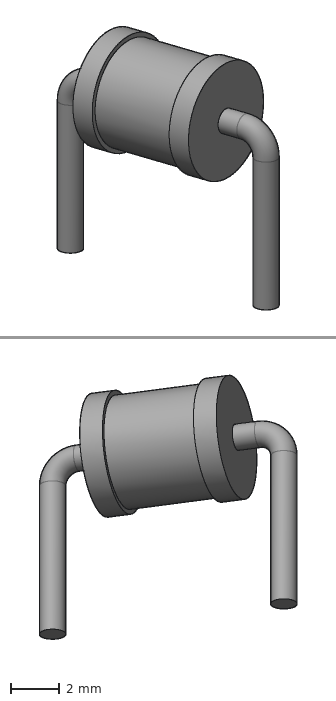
import cadquery as cq

overall_length = 11.26
overall_height = 10.37

cap_diameter = 5.2
core_diameter = 4.8
body_length = 6.0
cap_width = 1.0

lead_diameter = 1.1
bend_radius = lead_diameter

lead_x = (overall_length - lead_diameter) / 2
lead_bottom_z = cap_diameter / 2 - overall_height


def x_cylinder(diameter, start_x, length):
    """Cylinder along X, centred on the body axis."""
    return cq.Workplane("YZ").workplane(offset=start_x).circle(diameter / 2).extrude(length)


def make_body():
    """Core with a wider cap at each end."""
    half_length = body_length / 2
    core = x_cylinder(core_diameter, -half_length, body_length)
    left_cap = x_cylinder(cap_diameter, -half_length, cap_width)
    right_cap = x_cylinder(cap_diameter, half_length - cap_width, cap_width)
    return core.union(left_cap).union(right_cap)


def make_right_lead():
    """Round wire leaving the +X cap and bending down; it starts inside the cap to join it."""
    start_x = body_length / 2 - cap_width / 2
    bend_start_x = lead_x - bend_radius
    centreline = (
        cq.Workplane("XZ")
        .moveTo(start_x, 0)
        .lineTo(bend_start_x, 0)
        .tangentArcPoint((lead_x, -bend_radius), relative=False)
        .lineTo(lead_x, lead_bottom_z)
    )
    profile = cq.Workplane("YZ").workplane(offset=start_x).circle(lead_diameter / 2)
    return profile.sweep(centreline)


right_lead = make_right_lead()
left_lead = right_lead.mirror("YZ")
result = make_body().union(right_lead).union(left_lead)